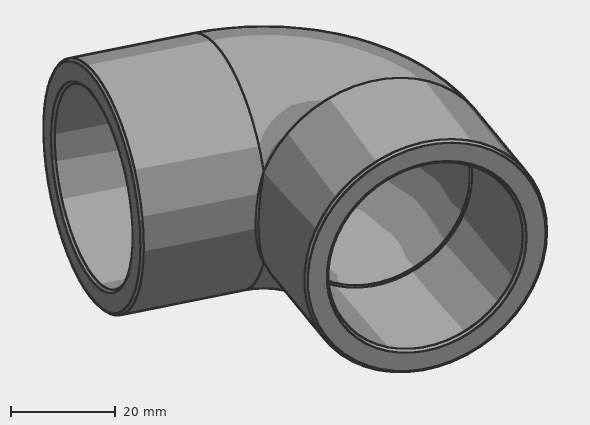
import cadquery as cq
import math

overall = 74.0
outer_diameter = 50.0
socket_depth = 26.05
socket_bore = 40.0
bend_bore = 39.0
rim_chamfer = 0.5
corner_web_leg = 0.45
mouth_diameter = 41.15

outer_radius = outer_diameter / 2
bend_outside_radius = overall - socket_depth
bend_radius = bend_outside_radius - outer_radius
mouth_chamfer = (mouth_diameter - socket_bore) / 2
axis_crossing = math.sqrt(outer_radius**2 - bend_radius**2)
bend_center_x = bend_outside_radius
bend_center_y = socket_depth

front_mouth = cq.Plane(origin=(outer_radius, 0, 0), xDir=(1, 0, 0), normal=(0, 1, 0))
side_mouth = cq.Plane(origin=(overall, overall - outer_radius, 0), xDir=(0, 1, 0), normal=(-1, 0, 0))


def socket_blank(mouth):
    """Solid cylinder running inward from an open end, with its outer rim chamfered."""
    blank = cq.Workplane(mouth).circle(outer_radius).extrude(socket_depth)
    open_end = cq.selectors.NearestToPointSelector(mouth.origin.toTuple())
    return blank.faces(open_end).chamfer(rim_chamfer)


def socket_cavity(mouth):
    """Straight bore with a conical lead-in at the open end."""
    bore = cq.Workplane(mouth).circle(socket_bore / 2).extrude(socket_depth)
    lead_in = (
        cq.Workplane(mouth)
        .circle(mouth_diameter / 2)
        .workplane(offset=mouth_chamfer)
        .circle(socket_bore / 2)
        .loft()
    )
    return bore.union(lead_in)


def corner_web():
    """Shallow web across the crease between the sockets, widest at mid-height and tapering to nothing."""
    miter = cq.Plane(origin=(bend_center_x, bend_center_y, 0), xDir=(1, -1, 0), normal=(-1, -1, 0))
    crease_reach = math.sqrt(2) * (outer_radius - bend_radius)
    web_reach = crease_reach + corner_web_leg / math.sqrt(2)
    return (
        cq.Workplane(miter)
        .moveTo(0, -axis_crossing)
        .threePointArc((web_reach, 0), (0, axis_crossing))
        .close()
        .extrude(corner_web_leg, both=True)
    )


def make_socket_pair():
    """Two perpendicular sockets, joined where their walls cross at the inside corner."""
    pair = socket_blank(front_mouth).union(socket_blank(side_mouth))
    pair = pair.union(corner_web())
    for mouth in (front_mouth, side_mouth):
        pair = pair.cut(socket_cavity(mouth))
    return pair


def quarter_turn(section):
    """Turn a section from the front socket round to the side socket."""
    axis_start = (0, 0)
    axis_end = (0, -1)
    return section.revolve(90, axis_start, axis_end)


def make_bend():
    """Hollow quarter bend; its outer circle stops at the bend axis, which it would otherwise cross."""
    plane = cq.Plane(origin=(bend_center_x, bend_center_y, 0), xDir=(1, 0, 0), normal=(0, -1, 0))
    outer_section = (
        cq.Workplane(plane)
        .moveTo(0, -axis_crossing)
        .threePointArc((-bend_outside_radius, 0), (0, axis_crossing))
        .close()
    )
    bore_section = cq.Workplane(plane).pushPoints([(-bend_radius, 0)]).circle(bend_bore / 2)
    return quarter_turn(outer_section).cut(quarter_turn(bore_section))


socket_pair = make_socket_pair()
bend = make_bend()
result = cq.Compound.makeCompound([socket_pair.solids().val(), bend.solids().val()])